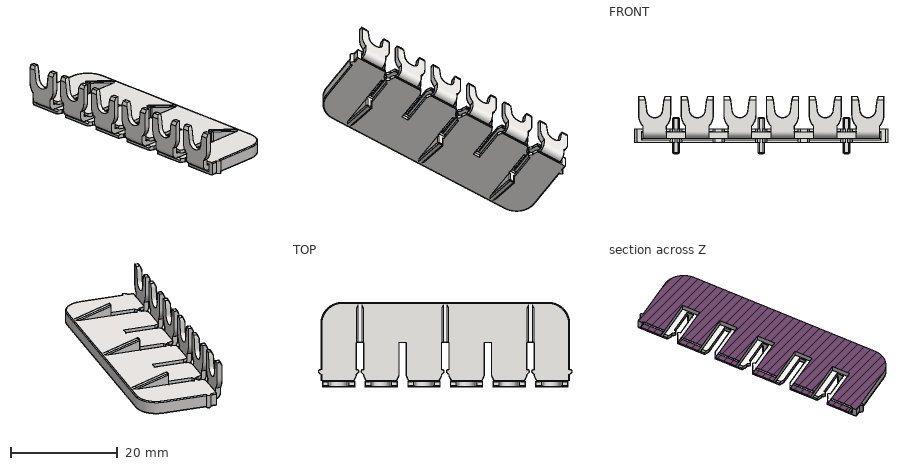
import cadquery as cq
import math


fork_count = 6
pitch = 8.0
fork_xs = [(i - (fork_count - 1) / 2) * pitch for i in range(fork_count)]
slot_xs = [(i - fork_count / 2) * pitch for i in range(1, fork_count)]
ribbed_slot_xs = slot_xs[::2]

overall_length = 47.5
overall_depth = 15.8
nub_height = 0.45
housing_length = overall_length - 2 * nub_height
housing_depth = 14.65
housing_height = 2.55
housing_corner_radius = 4.05
edge_chamfer = 0.2
front_y = -housing_depth

slot_width = 1.35
slot_end_y = -7.55
flare_width = 0.45
flare_depth = 0.9
flare_y = front_y + flare_depth

nub_back_y = -12.6
nub_radius = 0.35

rib_width = 1.3
rib_height = 6.85
rib_back_y = -0.5
rib_bevel_width = 0.3
rib_bevel_angle = 30
rib_tip_drop = 0.25
rib_tip_setback = 0.1

metal_thickness = 1.0
prong_width = 4.4
bend_inner_radius = 0.25
bend_outer_radius = bend_inner_radius + metal_thickness
mouth_chamfer = 0.3
strip_setback = 0.3
strip_front_y = slot_end_y + strip_setback
comb_clearance = 0.15

fork_width = 6.05
fork_top_z = 7.35
shoulder_z = 3.85
fork_slot_radius = 1.45
fork_slot_center_z = 4.85
fork_slot_break_half_width = 1.7
fork_slot_top_half_width = 1.95
tip_chamfer_height = 0.7
tip_chamfer_depth = 0.3


def centered_box(x_size, y_back, y_front, z_size, x_center=0):
    """Box centred on x_center and Z = 0, spanning y_front to y_back."""
    return cq.Workplane("XY").box(x_size, y_back - y_front, z_size).translate(
        (x_center, (y_back + y_front) / 2, 0)
    )


def make_blank():
    """Housing plate with rounded back corners and chamfered back and side rims."""
    untrimmed_front_y = front_y - housing_corner_radius
    plate = centered_box(housing_length, 0, untrimmed_front_y, housing_height)
    plate = plate.edges("|Z and >Y").fillet(housing_corner_radius)
    plate = plate.faces("<Z or >Z").edges().chamfer(edge_chamfer)
    front_trim = centered_box(overall_length, front_y, untrimmed_front_y, housing_height)
    return plate.cut(front_trim)


def make_slot(x_center):
    """Cutter for one slot, widening towards the housing front."""
    half = slot_width / 2
    mouth = half + flare_width
    outline = [
        (-half, slot_end_y),
        (-half, flare_y),
        (-mouth, front_y),
        (mouth, front_y),
        (half, flare_y),
        (half, slot_end_y),
    ]
    cutter = cq.Workplane("XY").polyline(outline).close().extrude(housing_height / 2, both=True)
    return cutter.translate((x_center, 0, 0))


def make_nub(x_root, direction):
    """Full-height round-nosed nub on a side wall at x_root, pointing along direction (+1 or -1)."""
    diagonal_step = nub_radius * math.sqrt(0.5)
    center_x = nub_height - nub_radius
    center_y = nub_back_y - nub_radius
    nose_end_x = center_x + diagonal_step
    nose_end_y = center_y - diagonal_step
    root_front_y = nose_end_y - nose_end_x
    nub = (
        cq.Workplane("XY")
        .moveTo(-nub_height, nub_back_y)
        .lineTo(center_x, nub_back_y)
        .threePointArc((center_x + diagonal_step, center_y + diagonal_step), (nose_end_x, nose_end_y))
        .lineTo(0, root_front_y)
        .lineTo(-nub_height, root_front_y)
        .close()
        .extrude(housing_height / 2, both=True)
    )
    if direction < 0:
        nub = nub.mirror("YZ")
    return nub.translate((x_root, 0, 0))


def make_rib(x_center):
    """Wedge rib through the housing, rising above and below it towards the front, bevelled all round."""
    tip_z = rib_height / 2
    back_z = housing_height / 2
    outline = [
        (rib_back_y, -back_z),
        (slot_end_y + rib_tip_setback, -tip_z),
        (slot_end_y, -tip_z + rib_tip_drop),
        (slot_end_y, tip_z - rib_tip_drop),
        (slot_end_y + rib_tip_setback, tip_z),
        (rib_back_y, back_z),
    ]
    core_half_width = rib_width / 2 - rib_bevel_width
    core = cq.Workplane("YZ").polyline(outline).close().extrude(core_half_width)
    half_rib = core.faces(">X").wires().toPending().workplane()
    half_rib = half_rib.extrude(rib_bevel_width, taper=rib_bevel_angle)
    return half_rib.union(half_rib.mirror("YZ")).translate((x_center, 0, 0))


def make_mouth():
    """Cutter that chamfers the housing front around the opening the metal comb comes out of."""
    inner_length = (fork_count - 1) * pitch + prong_width
    outer_length = inner_length + 2 * mouth_chamfer
    outer_height = metal_thickness + 2 * mouth_chamfer
    return (
        cq.Workplane("XZ", origin=(0, front_y, 0))
        .rect(outer_length, outer_height)
        .workplane(offset=-mouth_chamfer)
        .rect(inner_length, metal_thickness)
        .loft(ruled=True)
    )


def make_prong_gap(left_fork_x):
    """Cutter for the open space between two neighbouring prongs, down to the strip that joins them."""
    gap_x = left_fork_x + pitch / 2
    gap_width = pitch - prong_width
    gap_height = metal_thickness + comb_clearance
    gap = centered_box(gap_width, strip_front_y, front_y, gap_height, gap_x)
    return gap.translate((0, 0, comb_clearance / 2))


def make_fork_outline():
    """Front outline of a prong end: narrow stem, round shoulders and a U-shaped slot."""
    half = fork_width / 2
    stem_half = prong_width / 2
    stem_top_z = shoulder_z - math.sqrt(half**2 - stem_half**2)
    mid_angle = math.acos(stem_half / half) / 2
    mid_x = half * math.cos(mid_angle)
    mid_z = shoulder_z - half * math.sin(mid_angle)
    break_z = fork_top_z - tip_chamfer_height
    bottom_z = -metal_thickness / 2
    return (
        cq.Workplane("XZ")
        .moveTo(-stem_half, bottom_z)
        .lineTo(stem_half, bottom_z)
        .lineTo(stem_half, stem_top_z)
        .threePointArc((mid_x, mid_z), (half, shoulder_z))
        .lineTo(half, fork_top_z)
        .lineTo(fork_slot_top_half_width, fork_top_z)
        .lineTo(fork_slot_break_half_width, break_z)
        .lineTo(fork_slot_radius, fork_slot_center_z)
        .threePointArc(
            (0, fork_slot_center_z - fork_slot_radius), (-fork_slot_radius, fork_slot_center_z)
        )
        .lineTo(-fork_slot_break_half_width, break_z)
        .lineTo(-fork_slot_top_half_width, fork_top_z)
        .lineTo(-half, fork_top_z)
        .lineTo(-half, shoulder_z)
        .threePointArc((-mid_x, mid_z), (-stem_half, stem_top_z))
        .close()
        .extrude(overall_depth)
    )


def make_fork(x_center):
    """Prong end that leaves the housing, bends up and carries the fork terminal."""
    bottom_z = -metal_thickness / 2
    outer_y = -overall_depth
    inner_y = outer_y + metal_thickness
    root_y = front_y + mouth_chamfer
    bend_y = outer_y + bend_outer_radius
    bend_z = bottom_z + bend_outer_radius
    diagonal = math.sqrt(0.5)
    sheet = (
        cq.Workplane("YZ")
        .moveTo(root_y, bottom_z)
        .lineTo(bend_y, bottom_z)
        .threePointArc(
            (bend_y - bend_outer_radius * diagonal, bend_z - bend_outer_radius * diagonal),
            (outer_y, bend_z),
        )
        .lineTo(outer_y, fork_top_z - tip_chamfer_height)
        .lineTo(outer_y + tip_chamfer_depth, fork_top_z)
        .lineTo(inner_y, fork_top_z)
        .lineTo(inner_y, bend_z)
        .threePointArc(
            (bend_y - bend_inner_radius * diagonal, bend_z - bend_inner_radius * diagonal),
            (bend_y, bend_z - bend_inner_radius),
        )
        .lineTo(root_y, metal_thickness / 2)
        .close()
        .extrude(fork_width / 2, both=True)
    )
    return sheet.intersect(make_fork_outline()).translate((x_center, 0, 0))


result = make_blank()
for slot_x in slot_xs:
    result = result.cut(make_slot(slot_x))
for side in (-1, 1):
    result = result.union(make_nub(side * housing_length / 2, side))
    for slot_x in ribbed_slot_xs:
        result = result.union(make_nub(slot_x + side * slot_width / 2, -side))
for slot_x in ribbed_slot_xs:
    result = result.union(make_rib(slot_x))

result = result.cut(make_mouth())
for fork_x in fork_xs[:-1]:
    result = result.cut(make_prong_gap(fork_x))

for fork_x in fork_xs:
    result = result.union(make_fork(fork_x))